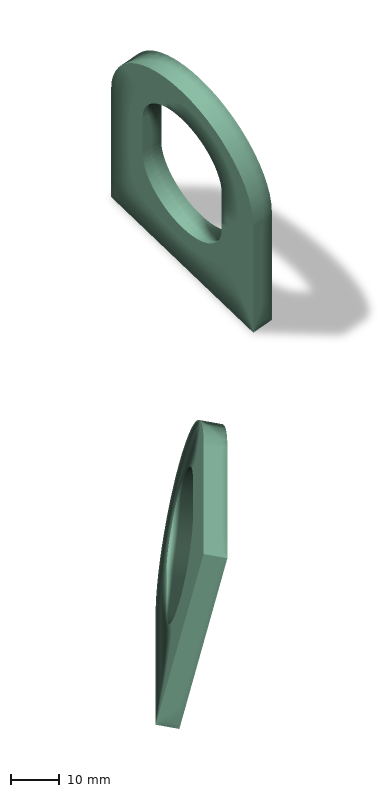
import cadquery as cq

height = 60.0
width = 45.0
thickness = 5.0
top_radius = width / 2
shoulder_height = height - top_radius

slot_width = 25.0
slot_length = 37.5
slot_bottom = 12.95
slot_center_height = slot_bottom + slot_length / 2


def arched_plate():
    """Plate with a flat base and a semicircular top, centred on Y."""
    outline = (
        cq.Workplane("XZ")
        .moveTo(-width / 2, 0)
        .lineTo(width / 2, 0)
        .lineTo(width / 2, shoulder_height)
        .threePointArc((0, height), (-width / 2, shoulder_height))
        .close()
    )
    return outline.extrude(thickness / 2, both=True)


def slot_cutter():
    """Round-ended vertical slot, passing through the full thickness."""
    return (
        cq.Workplane("XZ")
        .center(0, slot_center_height)
        .slot2D(slot_length, slot_width, angle=90)
        .extrude(thickness, both=True)
    )


result = arched_plate().cut(slot_cutter())